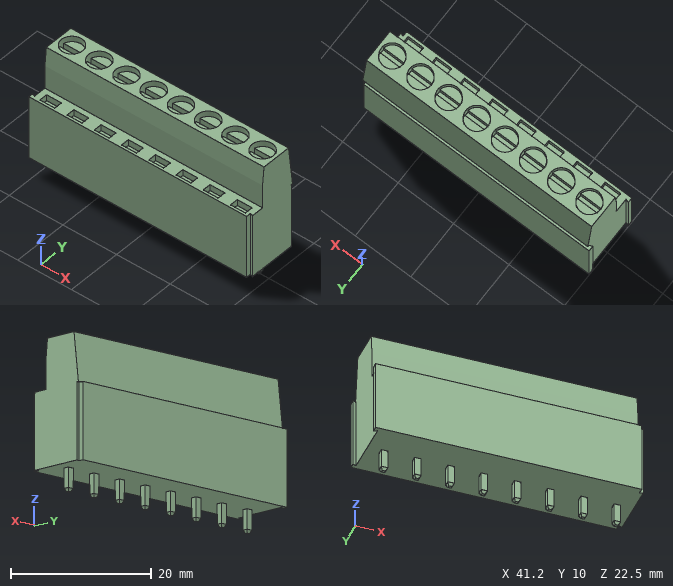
import cadquery as cq

total_length = 41.15
total_depth = 10.0
base_height = 11.5
tower_height = 7.5
pin_length = 3.5

poles = 8
rib_length = 0.55
rib_tip_width = 0.85
rib_root_width = 0.65

tower_top_back = 3.7
tower_foot_back = 4.6
tower_top_front = -1.75
tower_foot_front = -2.1
front_taper_height = 3.3

screw_diameter = 3.9
screw_y = 0.95
recess_depth = 1.03
slot_width = 0.85
slot_depth = 1.0

pocket_length = 2.75
pocket_width = 1.5
pocket_depth = 1.1
pocket_y = -3.8

pin_x_size = 1.0
pin_y_size = 0.9
tip_length = 0.5
tip_inset = 0.25

body_length = total_length - rib_length
pitch = body_length / poles
body_left = rib_length - total_length / 2
body_right = total_length / 2
pole_positions = [body_left + (i + 0.5) * pitch for i in range(poles)]
tower_top_z = base_height + tower_height


def at_poles(z, y):
    """Workplane at height z with one point per pole in a row at y."""
    return cq.Workplane("XY", origin=(0, 0, z)).pushPoints([(x, y) for x in pole_positions])


def make_base():
    """Block with dovetail ribs on its left corners and equal notches on its right corners."""
    half_depth = total_depth / 2
    half_length = total_length / 2
    tip_y = half_depth - rib_tip_width
    root_y = half_depth - rib_root_width
    notch_x = body_right - rib_length
    outline = [
        (-half_length, -half_depth),
        (notch_x, -half_depth),
        (notch_x, -tip_y),
        (body_right, -root_y),
        (body_right, root_y),
        (notch_x, tip_y),
        (notch_x, half_depth),
        (-half_length, half_depth),
        (-half_length, tip_y),
        (body_left, root_y),
        (body_left, -root_y),
        (-half_length, -tip_y),
    ]
    return cq.Workplane("XY").polyline(outline).close().extrude(base_height)


def make_tower():
    """Tapered tower, a constant cross-section along X."""
    section = [
        (tower_foot_front, base_height),
        (tower_foot_front, tower_top_z - front_taper_height),
        (tower_top_front, tower_top_z),
        (tower_top_back, tower_top_z),
        (tower_foot_back, base_height),
    ]
    plane = cq.Workplane("YZ", origin=(body_left, 0, 0))
    return plane.polyline(section).close().extrude(body_length)


def make_screw_recesses():
    """Round recesses, each with a driver slot across the screw head at its floor."""
    head_z = tower_top_z - recess_depth
    recesses = at_poles(head_z, screw_y).circle(screw_diameter / 2).extrude(recess_depth)
    slot_bars = at_poles(head_z, screw_y).rect(screw_diameter, slot_width).extrude(-slot_depth)
    screw_heads = at_poles(head_z, screw_y).circle(screw_diameter / 2).extrude(-slot_depth)
    return recesses.union(slot_bars.intersect(screw_heads))


def make_pockets():
    """Rectangular pockets sunk into the front ledge."""
    return at_poles(base_height, pocket_y).rect(pocket_length, pocket_width).extrude(-pocket_depth)


def make_pins():
    """Rectangular pins with tips tapered on all four sides."""
    shank_length = pin_length - tip_length
    shank = cq.Workplane("XY").rect(pin_x_size, pin_y_size).extrude(-shank_length)
    tip = (
        shank.faces("<Z")
        .workplane()
        .rect(pin_x_size, pin_y_size)
        .workplane(offset=tip_length)
        .rect(pin_x_size - 2 * tip_inset, pin_y_size - 2 * tip_inset)
        .loft(combine=False)
    )
    pin = shank.union(tip).val()
    return at_poles(0, 0).eachpoint(lambda place: pin.moved(place))


body = make_base().union(make_tower()).union(make_pins())
result = body.cut(make_screw_recesses()).cut(make_pockets())